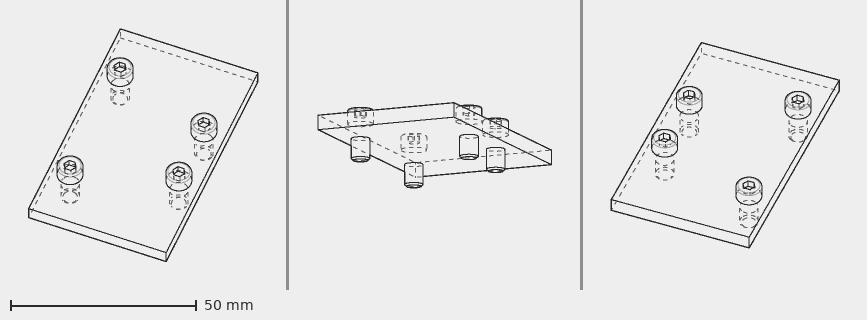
import cadquery as cq
import math

plate_width = 40.0
plate_length = 66.0
plate_thickness = 4.0

head_diameter = 7.0
head_height = 3.95
head_fillet = 0.5
shank_diameter = 5.0
shank_protrusion = 6.0
tip_chamfer = 0.5
socket_across_flats = 3.0
socket_depth = 2.0

column_offset = 14.0
wide_pair_offset = 18.0
narrow_pair_offset = wide_pair_offset / 2

screw_positions = [
    (-column_offset, wide_pair_offset),
    (-column_offset, -wide_pair_offset),
    (column_offset, narrow_pair_offset),
    (column_offset, -narrow_pair_offset),
]


def make_screw():
    """Screw on the Z axis, with its head seated on top of the plate."""
    head = (
        cq.Workplane("XY", origin=(0, 0, plate_thickness))
        .circle(head_diameter / 2)
        .extrude(head_height)
        .faces(">Z")
        .edges()
        .fillet(head_fillet)
    )
    shank = (
        cq.Workplane("XY", origin=(0, 0, -shank_protrusion))
        .circle(shank_diameter / 2)
        .extrude(shank_protrusion + plate_thickness)
        .faces("<Z")
        .chamfer(tip_chamfer)
    )
    socket_across_corners = socket_across_flats / math.cos(math.pi / 6)
    socket = (
        cq.Workplane("XY", origin=(0, 0, plate_thickness + head_height))
        .polygon(6, socket_across_corners)
        .extrude(-socket_depth)
    )
    return head.union(shank).cut(socket)


result = cq.Workplane("XY").box(
    plate_width, plate_length, plate_thickness, centered=(True, True, False)
)
screw = make_screw()
for x, y in screw_positions:
    result = result.union(screw.translate((x, y, 0)))